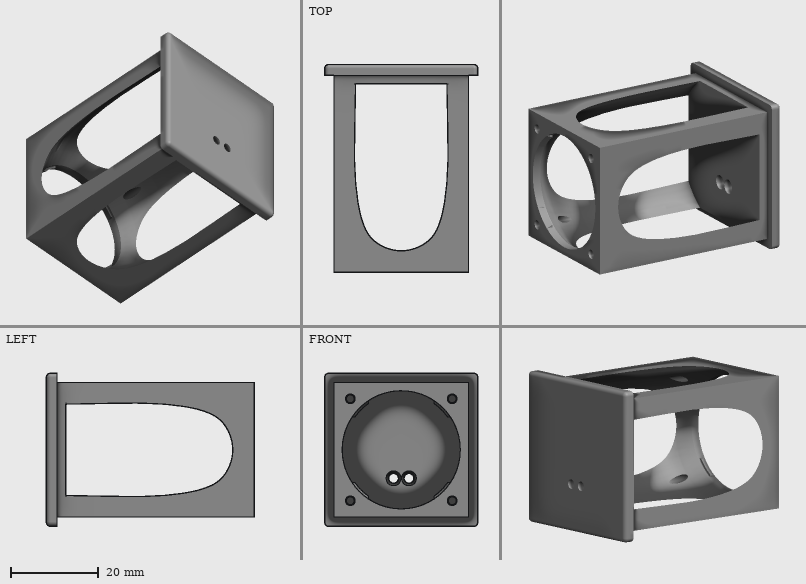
import cadquery as cq

length = 47.5
flange_width = 35.0
flange_thickness = 2.5
flange_round = 1.0
body_width = 30.8

floor_y = 43.05
back_thickness = length - floor_y
lip_depth = 2.0
mouth_radius = 13.5
cavity_wall = [
    (lip_depth, mouth_radius),
    (4.95, 15.4),
    (7.65, 16.75),
    (10.9, 17.6),
    (17.3, 18.4),
    (30.88, 18.7),
    (floor_y, 18.55),
]

tab_inner_radius = 12.95
tab_depth = 1.5
tab_overlap = 0.48
tab_edge_offset = 7.45

screw_offset = 11.65
screw_front_diameter = 2.2
screw_inner_diameter = 1.8
screw_taper_depth = lip_depth

wire_offset_x = 1.75
wire_z = -6.5
wire_front_diameter = 3.35
wire_back_diameter = 2.2


def square_block(width, start_y, depth):
    return cq.Workplane("XY").box(width, depth, width).translate((0, start_y + depth / 2, 0))


def cone_along_y(start_radius, end_radius, start_y, depth, x=0, z=0):
    base = cq.Vector(x, start_y, z)
    return cq.Workplane(cq.Solid.makeCone(start_radius, end_radius, depth, base, cq.Vector(0, 1, 0)))


def cylinder_along_y(radius, start_y, depth, x=0, z=0):
    base = cq.Vector(x, start_y, z)
    return cq.Workplane(cq.Solid.makeCylinder(radius, depth, base, cq.Vector(0, 1, 0)))


def make_flange():
    flange = square_block(flange_width, length - flange_thickness, flange_thickness)
    return flange.edges("|Y").fillet(flange_round).faces(">Y").edges().fillet(flange_round)


def make_cavity():
    profile = (
        cq.Workplane("XY")
        .moveTo(0, 0)
        .lineTo(mouth_radius, 0)
        .lineTo(mouth_radius, lip_depth)
        .spline([(radius, y) for y, radius in cavity_wall[1:]], includeCurrent=True)
        .lineTo(0, floor_y)
        .close()
    )
    return profile.revolve(360, (0, 0, 0), (0, 1, 0))


def make_tabs():
    ring_radius = mouth_radius + tab_overlap
    ring = cylinder_along_y(ring_radius, 0, tab_depth)
    ring = ring.cut(cone_along_y(mouth_radius, tab_inner_radius, 0, tab_depth))
    corner_width = ring_radius - tab_edge_offset
    corner_center = tab_edge_offset + corner_width / 2
    corners = (
        cq.Workplane("XZ")
        .rect(2 * corner_center, 2 * corner_center, forConstruction=True)
        .vertices()
        .rect(corner_width, corner_width)
        .extrude(-tab_depth)
    )
    return ring.intersect(corners)


def screw_hole(x, z):
    front_radius = screw_front_diameter / 2
    inner_radius = screw_inner_diameter / 2
    taper = cone_along_y(front_radius, inner_radius, 0, screw_taper_depth, x, z)
    shank = cylinder_along_y(inner_radius, screw_taper_depth, floor_y - screw_taper_depth, x, z)
    return taper.union(shank)


body = square_block(body_width, 0, length - flange_thickness)
result = body.union(make_flange()).cut(make_cavity()).union(make_tabs())

for x in (-screw_offset, screw_offset):
    for z in (-screw_offset, screw_offset):
        result = result.cut(screw_hole(x, z))

wire_front_radius = wire_front_diameter / 2
wire_back_radius = wire_back_diameter / 2
for x in (-wire_offset_x, wire_offset_x):
    result = result.cut(cone_along_y(wire_front_radius, wire_back_radius, floor_y, back_thickness, x, wire_z))